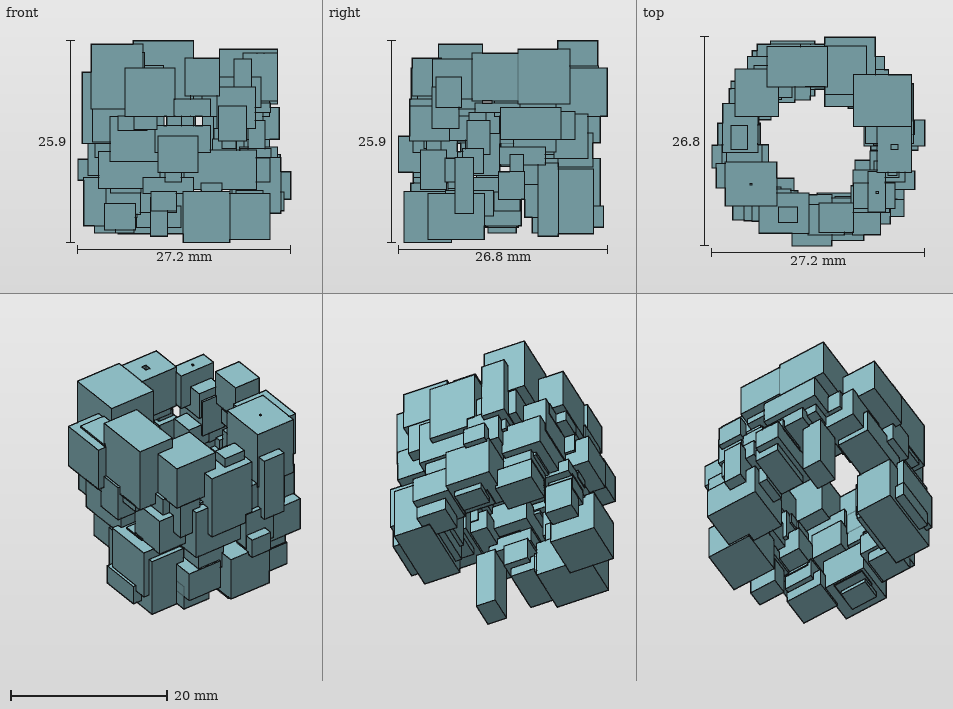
import cadquery as cq


MINUS_Y_BLOCKS = [
    ((0.05, 4.47), (-11.64, -7.85), (5.83, 10.68)),
    ((-5.1, -2.67), (-10.35, -8.37), (8.18, 9.73)),
    ((-7.63, -1.2), (-11.75, -6.57), (3.22, 9.43)),
    ((-1.3, 3.32), (-11.94, -8.05), (3.22, 5.42)),
    ((1.15, 2.25), (-10.9, -8.72), (4.63, 6.55)),
    ((-6.45, -3.52), (-11.64, -6.05), (1.53, 3.55)),
    ((-8.47, -4.8), (-10.22, -5.83), (1.42, 3.3)),
    ((-9.5, -2.6), (-10.16, -6.27), (-2.6, 3.22)),
    ((-3.73, 3.32), (-11.53, -8.18), (-1.42, 2.05)),
    ((-3.4, 1.75), (-13.38, -6.79), (-3.95, 0.68)),
    ((-0.05, 9.2), (-10.57, -7.2), (-6.15, -1.12)),
    ((-2.48, -0.38), (-11.5, -8.18), (-5.2, -2.72)),
    ((-5.31, 1.2), (-11.42, -7.63), (-6.68, -4.58)),
    ((2.15, 4.8), (-11.83, -7.0), (-8.18, -5.31)),
    ((-4.3, -1.0), (-11.53, -8.18), (-8.88, -6.38)),
    ((-0.15, 5.83), (-12.67, -6.57), (-12.95, -6.38)),
    ((-4.35, -2.15), (-11.42, -7.75), (-12.15, -7.2)),
]

MINUS_X_BLOCKS = [
    ((-11.94, -5.31), (-8.25, -2.6), (4.17, 12.48)),
    ((-10.68, -5.1), (3.22, 9.32), (5.2, 11.42)),
    ((-11.2, -9.1), (-1.0, 2.05), (7.63, 10.25)),
    ((-13.1, -8.18), (-5.95, -2.78), (-0.27, 8.88)),
    ((-12.25, -7.75), (-1.42, 4.9), (-0.27, 8.88)),
    ((-11.75, -7.2), (-7.0, -0.4), (-0.05, 4.7)),
    ((-11.42, -7.75), (-0.27, 6.79), (-3.22, 3.85)),
    ((-10.35, -8.18), (2.18, 5.35), (1.35, 4.15)),
    ((-12.37, -6.38), (-4.8, -0.38), (-4.35, 1.0)),
    ((-11.42, -8.18), (-5.42, -2.18), (-2.05, 1.35)),
    ((-10.98, -3.1), (-10.05, -4.7), (-6.05, -1.3)),
    ((-10.95, -7.63), (2.15, 6.1), (-6.8, -2.18)),
    ((-13.62, -10.35), (-3.4, -0.45), (-5.0, -2.25)),
    ((-12.9, -7.4), (-3.73, 2.37), (-10.8, -4.58)),
    ((-11.2, -6.05), (2.78, 7.75), (-9.73, -5.53)),
    ((-9.43, -5.53), (-8.77, -4.9), (-6.57, -4.1)),
    ((-10.05, -5.65), (-8.37, -4.47), (-9.32, -5.45)),
    ((-10.25, -6.27), (-8.47, -3.4), (-11.3, -7.95)),
    ((-11.53, -8.8), (-1.93, 1.75), (-11.75, -8.18)),
    ((-10.05, -6.45), (3.73, 7.75), (-11.75, -8.18)),
    ((-10.08, -7.63), (-2.2, 2.0), (-11.0, -8.18)),
]

PLUS_Y_BLOCKS = [
    ((-6.57, 1.2), (7.0, 12.15), (3.73, 12.92)),
    ((0.87, 6.15), (6.05, 12.25), (5.45, 9.67)),
    ((0.8, 7.3), (4.47, 13.38), (3.22, 9.43)),
    ((-7.08, -4.75), (5.4, 7.63), (2.72, 5.59)),
    ((-8.25, -3.0), (5.0, 9.73), (1.35, 5.31)),
    ((-10.63, -3.4), (5.65, 8.7), (0.27, 6.0)),
    ((-2.25, 1.42), (7.17, 12.48), (-0.15, 4.9)),
    ((-5.45, -2.72), (8.72, 12.05), (2.78, 5.45)),
    ((-0.38, 1.2), (7.08, 10.9), (0.55, 3.82)),
    ((-1.64, 6.0), (7.08, 11.53), (-3.27, 1.1)),
    ((-9.1, -3.82), (6.79, 10.9), (-2.25, 2.9)),
    ((2.32, 8.47), (6.55, 10.9), (-2.18, 3.55)),
    ((3.73, 9.0), (5.45, 9.2), (0.27, 3.82)),
    ((3.82, 8.18), (4.25, 8.18), (-1.64, 1.64)),
    ((-5.45, -2.18), (8.18, 11.1), (-3.27, -1.95)),
    ((-7.85, -1.0), (5.31, 12.48), (-9.1, -2.15)),
    ((-8.47, 0.82), (6.68, 11.64), (-11.83, -3.52)),
    ((-6.15, -0.45), (5.83, 12.9), (-10.98, -8.25)),
]

PLUS_X_BLOCKS = [
    ((4.47, 11.94), (1.93, 8.58), (4.8, 11.83)),
    ((7.52, 11.94), (-3.95, 1.93), (5.2, 11.3)),
    ((6.38, 8.58), (-9.0, -3.85), (5.45, 10.57)),
    ((4.47, 9.85), (-8.58, -5.31), (4.35, 8.25)),
    ((4.17, 9.1), (-9.1, -5.65), (1.64, 7.0)),
    ((8.45, 10.93), (-1.1, 6.8), (3.22, 5.45)),
    ((8.23, 11.0), (-3.55, 2.18), (3.73, 4.9)),
    ((4.35, 7.95), (-11.94, -6.8), (0.05, 4.58)),
    ((6.05, 12.15), (-0.27, 7.4), (0.27, 4.35)),
    ((8.9, 10.05), (-4.35, -2.18), (1.35, 3.73)),
    ((8.15, 10.35), (-4.6, -1.64), (-1.64, 2.67)),
    ((4.8, 6.6), (-10.08, -6.55), (-0.9, 2.18)),
    ((3.62, 6.68), (-9.8, -7.9), (-2.18, 0.33)),
    ((4.63, 6.65), (-9.26, -5.83), (-2.18, 0.14)),
    ((4.41, 7.63), (-7.08, -3.62), (0.14, 3.27)),
    ((7.65, 10.93), (1.35, 6.8), (-1.35, 1.64)),
    ((7.03, 11.94), (-0.45, 5.45), (-3.0, -0.68)),
    ((7.1, 11.1), (-5.15, -2.48), (-4.1, -0.9)),
    ((8.18, 12.3), (0.9, 2.67), (-4.35, -1.64)),
    ((6.1, 12.37), (-6.15, -3.73), (-9.2, -2.05)),
    ((6.55, 10.98), (-7.4, -4.9), (-5.2, -2.13)),
    ((5.83, 13.62), (-0.57, 2.78), (-7.4, -3.85)),
    ((6.6, 10.05), (-7.35, -1.2), (-9.55, -6.27)),
    ((6.7, 12.78), (-1.12, 2.18), (-8.88, -6.49)),
    ((6.8, 10.35), (4.47, 7.1), (-12.15, -2.72)),
    ((4.7, 10.98), (-9.62, -2.37), (-12.55, -6.68)),
]

PIT_DEPTH = 1.35
PIT_OPENINGS = [
    ((-8.75, -8.47), (-5.55, -5.37), 12.48),
    ((9.32, 10.16), (-1.0, -0.38), 11.3),
    ((7.35, 7.68), (-6.62, -6.4), 10.57),
]


def block(x_range, y_range, z_range):
    """Axis-aligned block spanning the three given ranges."""
    size = [high - low for low, high in (x_range, y_range, z_range)]
    corner = cq.Vector(x_range[0], y_range[0], z_range[0])
    return cq.Solid.makeBox(*size, corner)


def pit(x_range, y_range, top):
    """Rectangular cutter reaching PIT_DEPTH below the given top face."""
    return block(x_range, y_range, (top - PIT_DEPTH, top))


block_extents = MINUS_Y_BLOCKS + MINUS_X_BLOCKS + PLUS_Y_BLOCKS + PLUS_X_BLOCKS
blocks = [block(*extents) for extents in block_extents]
pits = [pit(*opening) for opening in PIT_OPENINGS]
ring = blocks[0].fuse(*blocks[1:]).cut(*pits)

result = cq.Workplane("XY").newObject(ring.Solids())